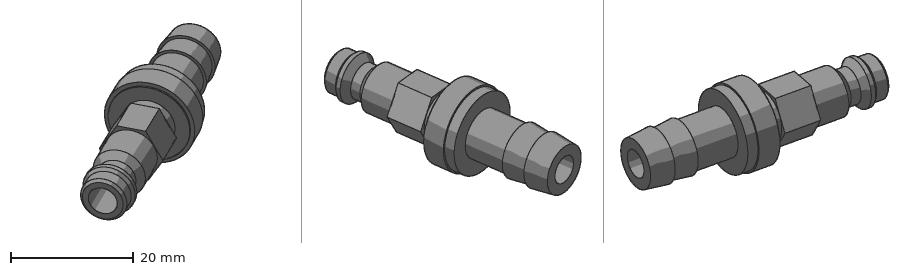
import cadquery as cq
import math

LENGTH = 47.0

BORE_RADIUS = 2.5
BODY_RADIUS = 4.5
BARB_RADIUS = 5.05
COLLAR_REAR_RADIUS = 7.45
COLLAR_RADIUS = 7.8
COLLAR_FRONT_RADIUS = 7.05
GROOVE_RADIUS = 3.3
NOSE_RADIUS = 4.0

NOSE_CHAMFER = 0.45
NOSE_END = 2.7
SHOULDER_START = NOSE_END + BODY_RADIUS - NOSE_RADIUS
SHOULDER_END = 4.05
GROOVE_CONE = BODY_RADIUS - GROOVE_RADIUS
GROOVE_START = SHOULDER_END + GROOVE_CONE
GROOVE_END = 7.2
BODY_START = GROOVE_END + GROOVE_CONE
HEX_START = 14.5
HEX_LENGTH = 6.95
COLLAR_START = 23.6
COLLAR_FRONT_LENGTH = 0.35
COLLAR_REAR_START = 28.0
COLLAR_END = 30.0
BARB_LENGTH = 4.45
BARB_COUNT = 2

HEX_NEAR_FLAT = 4.6
HEX_FAR_FLAT = 4.9
HEX_SIDES = 6


def turned_body():
    """Solid of revolution, from half-profile points (radius, axial station)."""
    collar_main_start = COLLAR_START + COLLAR_FRONT_LENGTH
    profile = [
        (0, 0),
        (NOSE_RADIUS - NOSE_CHAMFER, 0),
        (NOSE_RADIUS, NOSE_CHAMFER),
        (NOSE_RADIUS, NOSE_END),
        (BODY_RADIUS, SHOULDER_START),
        (BODY_RADIUS, SHOULDER_END),
        (GROOVE_RADIUS, GROOVE_START),
        (GROOVE_RADIUS, GROOVE_END),
        (BODY_RADIUS, BODY_START),
        (BODY_RADIUS, COLLAR_START),
        (COLLAR_FRONT_RADIUS, COLLAR_START),
        (COLLAR_FRONT_RADIUS, collar_main_start),
        (COLLAR_RADIUS, collar_main_start),
        (COLLAR_RADIUS, COLLAR_REAR_START),
        (COLLAR_REAR_RADIUS, COLLAR_REAR_START),
        (COLLAR_REAR_RADIUS, COLLAR_END),
        (BODY_RADIUS, COLLAR_END),
    ]
    for remaining in range(BARB_COUNT, 0, -1):
        barb_start = LENGTH - remaining * BARB_LENGTH
        profile.append((BODY_RADIUS, barb_start))
        profile.append((BARB_RADIUS, barb_start))
    profile.append((BODY_RADIUS, LENGTH))
    profile.append((0, LENGTH))
    return cq.Workplane("XY").polyline(profile).close().revolve(360, (0, 0, 0), (0, 1, 0))


def hexagon():
    """Wrench hexagon with equal angles and a far flat facing +Z."""
    half_step = math.pi / HEX_SIDES
    corners = []
    for side in range(HEX_SIDES):
        flat, next_flat = HEX_FAR_FLAT, HEX_NEAR_FLAT
        if side % 2:
            flat, next_flat = next_flat, flat
        bisector = math.pi / 2 + (2 * side + 1) * half_step
        along = (flat + next_flat) / (2 * math.cos(half_step))
        across = (next_flat - flat) / (2 * math.sin(half_step))
        x = along * math.cos(bisector) - across * math.sin(bisector)
        z = along * math.sin(bisector) + across * math.cos(bisector)
        corners.append((x, z))
    plane = cq.Workplane("XZ", origin=(0, HEX_START, 0))
    return plane.polyline(corners).close().extrude(-HEX_LENGTH)


def bore():
    """Through passage along the axis."""
    return cq.Workplane("XZ").circle(BORE_RADIUS).extrude(-LENGTH)


result = turned_body().union(hexagon()).cut(bore())